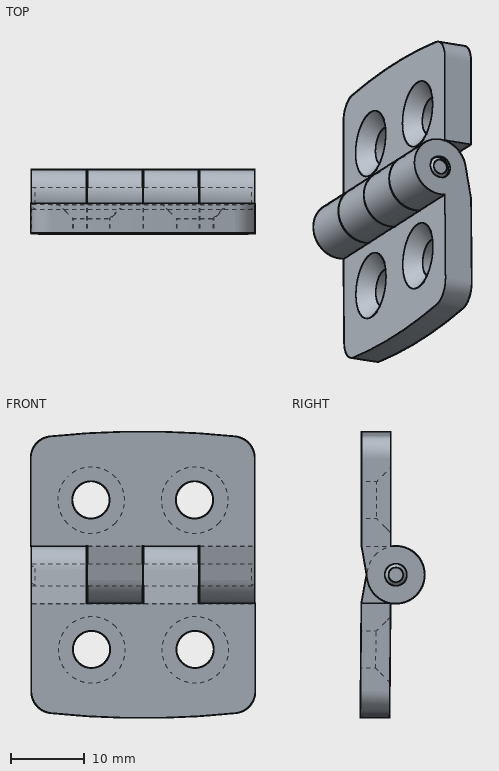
import cadquery as cq
import math

leaf_width = 30.35
leaf_thickness = 4.0
leaf_front = 4.65
leaf_end = 19.4
leaf_root = 3.9
leaf_back = leaf_front - leaf_thickness
end_arc_radius = 118.37
corner_radius = 3.0

barrel_radius = 3.92
knuckle_count = 2
knuckle_length = 7.5
knuckle_pitch = leaf_width / knuckle_count

hole_diameter = 5.0
hole_spacing = 14.0
hole_height = 10.13
flare_depth = leaf_thickness / 2
flare_diameter = hole_diameter + 2 * flare_depth

pin_diameter = 3.0
pin_chamfer = 0.5

leaf_shift = 0.05
lower_tilt = 0.5

half_width = leaf_width / 2
knuckled_end = half_width - leaf_shift


def make_plate():
    """Flat plate standing above the pin, with a crowned end and rounded corners."""
    shoulder = leaf_end - end_arc_radius + math.sqrt(end_arc_radius**2 - half_width**2)
    plate = (
        cq.Workplane("XZ", origin=(0, -leaf_back, 0))
        .moveTo(-half_width, leaf_root)
        .lineTo(-half_width, shoulder)
        .threePointArc((0, leaf_end), (half_width, shoulder))
        .lineTo(half_width, leaf_root)
        .close()
        .extrude(leaf_thickness)
    )
    return plate.edges("|Y").edges(">Z").fillet(corner_radius)


def make_knuckle(start):
    """Barrel at x = start with an arm whose sloping front is tangent to the barrel."""
    corner_distance = math.hypot(leaf_front, leaf_root)
    corner_angle = math.atan2(leaf_root, leaf_front)
    tangent_angle = corner_angle - math.acos(barrel_radius / corner_distance)
    tangent_y = -barrel_radius * math.cos(tangent_angle)
    tangent_z = barrel_radius * math.sin(tangent_angle)
    section = cq.Workplane("YZ", origin=(start, 0, 0))
    arm = (
        section.polyline([
            (0, 0),
            (tangent_y, tangent_z),
            (-leaf_front, leaf_root),
            (-leaf_back, leaf_root),
        ])
        .close()
        .extrude(knuckle_length)
    )
    return section.circle(barrel_radius).extrude(knuckle_length).union(arm)


def make_screw_hole(hole_x):
    """Through hole at x = hole_x, flared by a cone from mid thickness to the back face."""
    back_plane = cq.Workplane("XZ", origin=(hole_x, -leaf_back, hole_height))
    hole = back_plane.circle(hole_diameter / 2).extrude(leaf_thickness)
    flare = (
        back_plane.circle(flare_diameter / 2)
        .workplane(offset=flare_depth)
        .circle(hole_diameter / 2)
        .loft(ruled=True)
    )
    return hole.union(flare)


def make_leaf():
    """Upright leaf whose last knuckle ends flush with the +X side of the plate."""
    leaf = make_plate()
    for index in range(knuckle_count):
        start = half_width - knuckle_length - index * knuckle_pitch
        leaf = leaf.union(make_knuckle(start))
    for hole_x in (-hole_spacing / 2, hole_spacing / 2):
        leaf = leaf.cut(make_screw_hole(hole_x))
    pin_bore = cq.Workplane("YZ").circle(pin_diameter / 2).extrude(half_width, both=True)
    return leaf.cut(pin_bore)


def make_pin():
    """Pin filling the bore, chamfered at both ends."""
    pin = cq.Workplane("YZ").circle(pin_diameter / 2).extrude(knuckled_end, both=True)
    return pin.faces("<X or >X").chamfer(pin_chamfer)


upper_leaf = make_leaf().translate((-leaf_shift, 0, 0))
lower_leaf = (
    make_leaf()
    .rotate((0, 0, 0), (0, 1, 0), 180)
    .rotate((0, 0, 0), (1, 0, 0), -lower_tilt)
    .translate((leaf_shift, 0, 0))
)
pin = make_pin()

result = cq.Compound.makeCompound([upper_leaf.val(), lower_leaf.val(), pin.val()])